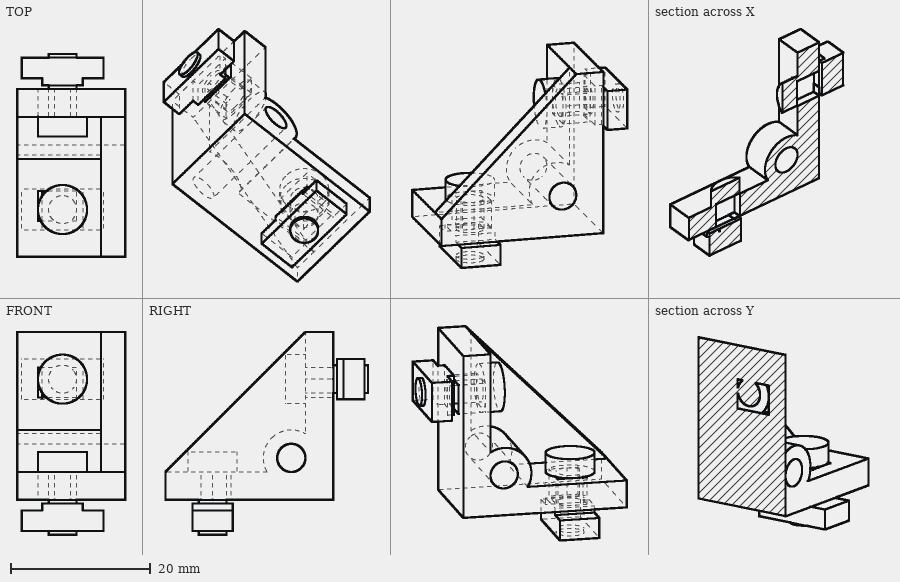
import cadquery as cq

overall_length = 29
width = 15.5
arm_length = 24.0
plate_thickness = 4.0
gusset_thickness = 3.5

barrel_center = 1.5 * plate_thickness
barrel_radius = plate_thickness
barrel_bore_radius = barrel_radius / 2

fastener_x = 6.5
fastener_distance = 17.25

head_radius = 3.5
head_height = 2.8
shank_radius = 2.0
shank_protrusion = overall_length - arm_length

nut_gap = 0.5
nut_depth = 5.8
tongue_width = 5.8
tongue_height = 1.0
flange_width = 11.72
flange_height = 3.0

slot_width = 4.3
slot_offset = 0.5
slot_start = fastener_x - head_radius
slot_end = fastener_x + shank_radius


def box(x_range, y_range, z_range):
    """Box spanning the given (low, high) ranges."""
    sizes = [high - low for low, high in (x_range, y_range, z_range)]
    corner = (x_range[0], y_range[0], z_range[0])
    return cq.Workplane("XY").box(*sizes, centered=False).translate(corner)


def cylinder(radius, bottom, top):
    """Upright cylinder on the axis of the base fastener."""
    return (
        cq.Workplane("XY", origin=(fastener_x, -fastener_distance, bottom))
        .circle(radius)
        .extrude(top - bottom)
    )


def nut_block(block_width, bottom, height):
    """Block centred on the axis of the base fastener."""
    return (
        cq.Workplane("XY", origin=(fastener_x, -fastener_distance, bottom))
        .rect(block_width, nut_depth)
        .extrude(height)
    )


def swap_arms(shape):
    """Reflect a base feature onto the wall."""
    return shape.mirror((0, 1, 1))


def make_fastener():
    """Bolt through the base, with its T-nut below."""
    head = cylinder(head_radius, plate_thickness, plate_thickness + head_height)
    shank = cylinder(shank_radius, -shank_protrusion, plate_thickness)
    tongue_bottom = -nut_gap - tongue_height
    tongue = nut_block(tongue_width, tongue_bottom, tongue_height)
    flange = nut_block(flange_width, tongue_bottom - flange_height, flange_height)
    return head.union(shank).union(tongue).union(flange)


def make_slot():
    """Rectangular slot through the base."""
    center_y = slot_offset - fastener_distance
    y_range = (center_y - slot_width / 2, center_y + slot_width / 2)
    return box((slot_start, slot_end), y_range, (0, plate_thickness))


def make_gusset():
    """Sloped side web that joins the free ends of both plates."""
    outline = [
        (0, 0),
        (-arm_length, 0),
        (-arm_length, plate_thickness),
        (-plate_thickness, arm_length),
        (0, arm_length),
    ]
    return (
        cq.Workplane("YZ", origin=(width - gusset_thickness, 0, 0))
        .polyline(outline)
        .close()
        .extrude(gusset_thickness)
    )


def barrel_cylinder(radius):
    """Cylinder along X on the barrel axis, over the full width."""
    return (
        cq.Workplane("YZ")
        .center(-barrel_center, barrel_center)
        .circle(radius)
        .extrude(width)
    )


base = box((0, width), (-arm_length, 0), (0, plate_thickness))
bracket = base.union(swap_arms(base)).union(make_gusset())
bracket = bracket.union(barrel_cylinder(barrel_radius))
bracket = bracket.cut(barrel_cylinder(barrel_bore_radius))

slot = make_slot()
bracket = bracket.cut(slot).cut(swap_arms(slot))

fastener = make_fastener()
result = bracket.union(fastener).union(swap_arms(fastener))